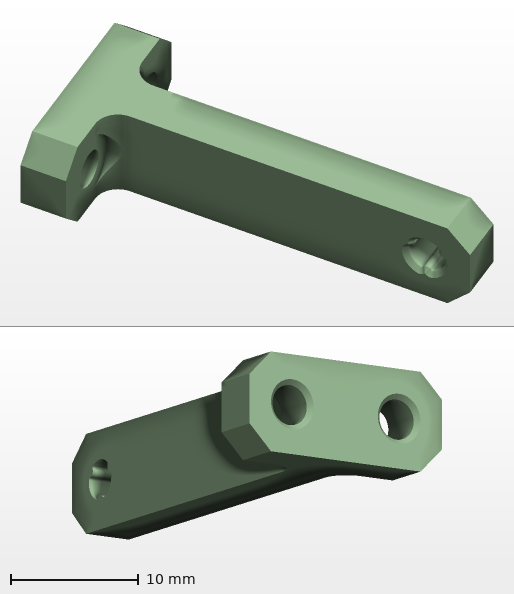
import cadquery as cq
import math

length = 36.0
plate_width = 18.0
height = 8.0
thickness = 4.0
corner_chamfer = height / 4
root_radius = 2.0

screw_spacing = 10.0
screw_diameter = 3.2
screw_radius = screw_diameter / 2
rim_chamfer = 0.4
rim_radius = screw_radius + rim_chamfer
head_clearance_diameter = 5.85

ridged_hole_inset = 4.0
ridge_radius = 0.45
ridge_center_radius = 1.7
ridge_blend_radius = 0.2
selection_margin = 0.05
ridge_count = 3
first_ridge_angle = 30.0


def make_plate():
    plate = cq.Workplane("XY").box(thickness, plate_width, height, centered=(False, True, True))
    return plate.edges("|X").chamfer(corner_chamfer)


def make_arm():
    arm = cq.Workplane("XY").box(length, thickness, height, centered=(False, True, True))
    return arm.faces(">X").edges("|Y").chamfer(corner_chamfer)


def make_root_fillet(side):
    """Concave strip joining the plate to one side of the arm."""
    arm_face = side * thickness / 2
    far_x = thickness + root_radius
    far_y = arm_face + side * root_radius
    diagonal = root_radius * (1 - math.sqrt(0.5))
    return (
        cq.Workplane("XY", origin=(0, 0, -height / 2))
        .moveTo(thickness, arm_face)
        .lineTo(far_x, arm_face)
        .threePointArc((thickness + diagonal, arm_face + side * diagonal), (thickness, far_y))
        .close()
        .extrude(height)
    )


def make_screw_cut(side):
    """Through hole with a chamfered front rim and head clearance behind the plate."""
    center_y = side * screw_spacing / 2
    front = cq.Workplane("YZ", origin=(0, center_y, 0))
    hole = front.circle(screw_radius).extrude(thickness)
    rim = front.circle(rim_radius).workplane(offset=rim_chamfer).circle(screw_radius).loft(combine=True)
    back = cq.Workplane("YZ", origin=(thickness, center_y, 0))
    clearance = back.circle(head_clearance_diameter / 2).extrude(root_radius)
    return hole.union(rim).union(clearance)


def make_ridged_hole_cut():
    """Straight hole through the arm with evenly spaced, blended ridges on its wall."""
    axis = cq.Workplane("XZ", origin=(length - ridged_hole_inset, -thickness / 2, 0))
    ridges = (
        axis.polarArray(ridge_center_radius, first_ridge_angle, 360, ridge_count)
        .circle(ridge_radius)
        .extrude(-thickness)
    )
    hole = axis.circle(screw_radius).extrude(-thickness).cut(ridges)
    return hole.edges("|Y").fillet(ridge_blend_radius)


def chamfer_ridged_rim(part):
    """Chamfer the mouth of the ridged hole on the -Y face of the arm."""
    center_x = length - ridged_hole_inset
    mouth = cq.selectors.BoxSelector(
        (center_x - rim_radius, -thickness / 2 - selection_margin, -rim_radius),
        (center_x + rim_radius, -thickness / 2 + selection_margin, rim_radius),
    )
    return part.edges(mouth).chamfer(rim_chamfer)


result = make_plate().union(make_arm())
for side in (-1, 1):
    result = result.union(make_root_fillet(side))
for side in (-1, 1):
    result = result.cut(make_screw_cut(side))
result = result.cut(make_ridged_hole_cut())
result = chamfer_ridged_rim(result)